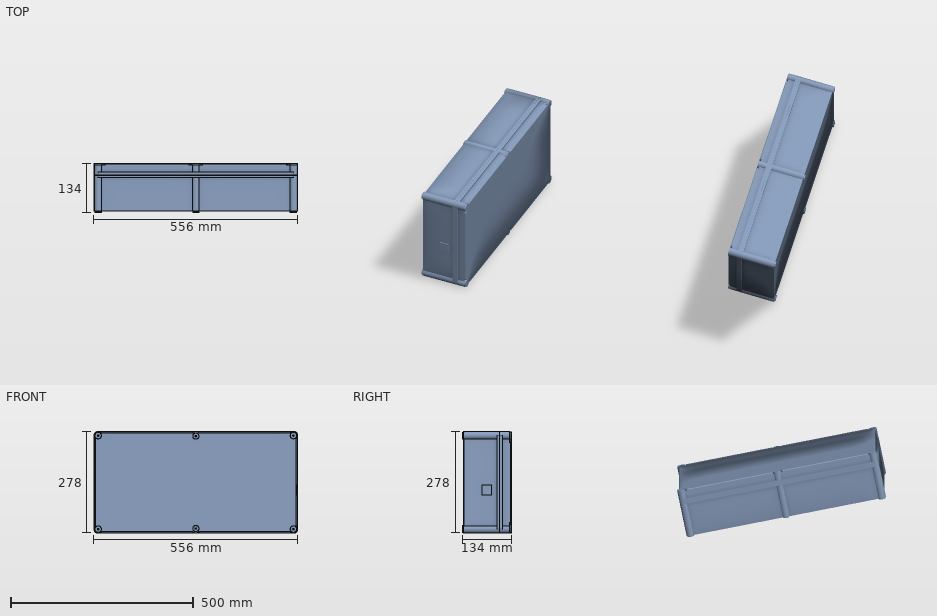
import cadquery as cq

length = 556.0
height = 278.0
depth = 134.0

wall_inset = 4.5
screw_head_rise = 3.5
back_chamfer = 1.5
wall_length = length - 2 * wall_inset
wall_height = height - 2 * wall_inset
back_y = depth / 2
head_top_y = -depth / 2
front_y = head_top_y + screw_head_rise

post_radius = 11.0
post_x = length / 2 - post_radius
post_z = height / 2 - post_radius
corner_columns = (-post_x, post_x)
middle_column = (0,)
all_columns = (-post_x, 0, post_x)

corner_head_radius = 9.0
middle_head_radius = 8.5
middle_head_z = 126.0
socket_radius = 1.95
socket_depth = 1.5

stub_z = 127.0
notch_clearance = 1.0
notch_lip_radius = 6.0
notch_depth = 5.0
notch_floor_y = back_y - notch_depth

band_back_y = 43.0
band_front_y = 28.0
seam_y = 34.5
seam_width = 0.5
seam_depth = 0.5

pad_size = 26.5
pad_rise = 1.5
pad_z = -21.0


def block(size_x, size_z, start_y, end_y):
    """Box centred on X and Z that runs between two Y stations."""
    solid = cq.Workplane("XY").box(size_x, end_y - start_y, size_z)
    return solid.translate((0, (start_y + end_y) / 2, 0))


def cylinders(columns, z_offset, radius, start_y, end_y):
    """Cylinders along Y at the given X columns, above and below the middle."""
    places = [(x, z) for x in columns for z in (-z_offset, z_offset)]
    profile = cq.Workplane("XZ", origin=(0, start_y, 0)).pushPoints(places).circle(radius)
    return profile.extrude(start_y - end_y)


def walls():
    """Plain box with a chamfered back edge and a rounded notch behind every post."""
    core = block(wall_length, wall_height, front_y, notch_floor_y)
    rim = block(wall_length, wall_height, notch_floor_y, back_y)
    notch_radius = post_radius + notch_clearance
    rim = rim.cut(cylinders(all_columns, post_z, notch_radius, notch_floor_y, back_y))
    rim = rim.edges("|Y").fillet(notch_lip_radius)
    chamfered = block(wall_length, wall_height, front_y, back_y).faces(">Y").edges().chamfer(back_chamfer)
    return core.union(rim).intersect(chamfered)


def posts():
    """Round posts from the front face to the notch floors, ending in stubs at the back."""
    shafts = cylinders(all_columns, post_z, post_radius, front_y, notch_floor_y)
    return shafts.union(cylinders(all_columns, stub_z, post_radius, notch_floor_y, back_y))


def band():
    """Straight strips on the four walls that end at the corner post axes."""
    side_strips = block(length, 2 * post_z, band_front_y, band_back_y)
    return side_strips.union(block(2 * post_x, height, band_front_y, band_back_y))


def seam_ring():
    """Shallow ring all round the box that follows the rounded corners."""
    start_y = seam_y - seam_width / 2
    end_y = seam_y + seam_width / 2
    core = block(length - 2 * seam_depth, height - 2 * seam_depth, start_y, end_y)
    core = core.edges("|Y").fillet(post_radius - seam_depth)
    return block(length, height, start_y, end_y).cut(core)


def wall_pad():
    """Small square pad standing on the +X wall."""
    pad = cq.Workplane("XY").box(2 * pad_rise, pad_size, pad_size)
    return pad.translate((wall_length / 2, 0, pad_z))


result = walls().union(posts()).union(band()).cut(seam_ring()).union(wall_pad())

socket_floor_y = head_top_y + socket_depth
for columns, head_z, head_radius in (
    (corner_columns, post_z, corner_head_radius),
    (middle_column, middle_head_z, middle_head_radius),
):
    result = result.union(cylinders(columns, head_z, head_radius, head_top_y, front_y))
    result = result.cut(cylinders(columns, head_z, socket_radius, head_top_y, socket_floor_y))